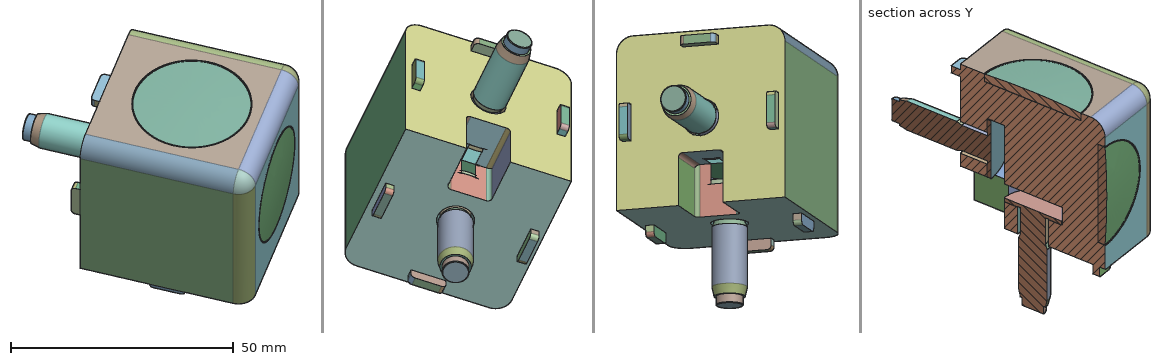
import cadquery as cq
import math


CUBE = 40.0
HALF = CUBE / 2
EDGE_RADIUS = 4.0

NOTCH_WIDTH = 10.6
NOTCH_DEPTH = 12.1
NOTCH_RADIUS = 1.0

TAB_WIDTH = 8.4
TAB_THICKNESS = 2.0
TAB_LENGTH = 2.55
TAB_RADIUS = 1.0
TAB_EDGE_GAP = 1.5

PIN_DIAMETER = 8.0
NECK_DIAMETER = 7.0
TIP_DIAMETER = 6.1
HEAD_DIAMETER = 15.8
PIN_REACH = 18.95
TIP_LENGTH = 2.1
TIP_CHAMFER = 0.2
TAPER_LENGTH = 2.15
SHOULDER_GAP = 0.95
NECK_TAPER_LENGTH = 1.3
HEAD_THICKNESS = 1.0

PIN_HOLE_DIAMETER = 8.5
SEAT_DIAMETER = 16.1
SEAT_FLOOR = 7.4

BUTTON_DIAMETER = 26.5
BUTTON_DEPTH = 2.0
DOME_HEIGHT = 0.5
RIM_CHAMFER = 0.25
FLARE_ANGLE = 45


def swap_x_and_z(shape):
    """Turn a Z-axis feature onto the X axis: +Z goes to +X and -Z to -X."""
    return shape.rotate((0, 0, 0), (1, 0, 1), 180)


def upright_cylinder(diameter, bottom, height):
    return cq.Workplane("XY", origin=(0, 0, bottom)).circle(diameter / 2).extrude(height)


def make_cube():
    cube = cq.Workplane("XY").box(CUBE, CUBE, CUBE)
    return cube.edges("(>Z and (>X or >Y or <Y)) or (>X and (>Y or <Y))").fillet(EDGE_RADIUS)


def make_notch():
    notch = cq.Workplane("XY", origin=(-HALF, 0, -HALF)).box(
        NOTCH_DEPTH, NOTCH_WIDTH, NOTCH_DEPTH, centered=(False, True, False)
    )
    ceiling_sides = notch.faces(">Z").edges("|X")
    wall_sides = notch.faces(">X").edges("|Z")
    return ceiling_sides.add(wall_sides).fillet(NOTCH_RADIUS)


def make_tab():
    """One tab below the -Z face, centred on the Z axis and wide along X."""
    tab = cq.Workplane("XY", origin=(0, 0, -HALF - TAB_LENGTH)).box(
        TAB_WIDTH, TAB_THICKNESS, TAB_LENGTH, centered=(True, True, False)
    )
    return tab.faces("<Z").edges("|Y").fillet(TAB_RADIUS)


def make_tabs():
    """Tabs along the +Y, +X and -Y edges of the -Z face."""
    offset = HALF - TAB_EDGE_GAP - TAB_THICKNESS / 2
    tabs = cq.Workplane("XY")
    for angle in (0, -90, 180):
        tab = make_tab().translate((0, offset, 0)).rotate((0, 0, 0), (0, 0, 1), angle)
        tabs = tabs.add(tab)
    return tabs.combine()


def make_pin_seat():
    """Hole for the pin, opening into a wider seat for its head."""
    hole = upright_cylinder(PIN_HOLE_DIAMETER, -HALF, SEAT_FLOOR)
    seat = upright_cylinder(SEAT_DIAMETER, -HALF + SEAT_FLOOR, NOTCH_DEPTH - SEAT_FLOOR)
    return hole.union(seat)


def make_button_recess():
    recess = upright_cylinder(BUTTON_DIAMETER, HALF - BUTTON_DEPTH, BUTTON_DEPTH)
    flare = cq.Workplane("XY", origin=(0, 0, HALF)).circle(BUTTON_DIAMETER / 2 + RIM_CHAMFER)
    flare = flare.extrude(-RIM_CHAMFER, taper=FLARE_ANGLE)
    return recess.union(flare)


def make_housing():
    tabs = make_tabs()
    pin_seat = make_pin_seat()
    button_recess = make_button_recess()
    housing = make_cube().union(tabs).union(swap_x_and_z(tabs)).cut(make_notch())
    for cavity in (pin_seat, button_recess):
        housing = housing.cut(cavity).cut(swap_x_and_z(cavity))
    return housing


def make_pin():
    """Pin along the -Z axis, turned from the tip up to the head."""
    tip = -HALF - PIN_REACH
    step = tip + TIP_LENGTH
    shoulder = -HALF - SHOULDER_GAP
    head_bottom = -HALF + SEAT_FLOOR
    head_top = head_bottom + HEAD_THICKNESS
    profile = [
        (0, tip),
        (TIP_DIAMETER / 2 - TIP_CHAMFER, tip),
        (TIP_DIAMETER / 2, tip + TIP_CHAMFER),
        (TIP_DIAMETER / 2, step),
        (NECK_DIAMETER / 2, step),
        (PIN_DIAMETER / 2, step + TAPER_LENGTH),
        (PIN_DIAMETER / 2, shoulder),
        (NECK_DIAMETER / 2, shoulder + NECK_TAPER_LENGTH),
        (NECK_DIAMETER / 2, head_bottom),
        (HEAD_DIAMETER / 2, head_bottom),
        (HEAD_DIAMETER / 2, head_top),
        (0, head_top),
    ]
    return cq.Workplane("XZ").polyline(profile).close().revolve(360, (0, 0), (0, 1))


def make_button():
    """Disc in the +Z face with a shallow spherical dome that starts flush with the face."""
    radius = BUTTON_DIAMETER / 2
    sphere_radius = (radius**2 + DOME_HEIGHT**2) / (2 * DOME_HEIGHT)
    apex = HALF + DOME_HEIGHT
    middle_drop = sphere_radius - math.sqrt(sphere_radius**2 - (radius / 2) ** 2)
    return (
        cq.Workplane("XZ")
        .moveTo(0, HALF - BUTTON_DEPTH)
        .lineTo(radius, HALF - BUTTON_DEPTH)
        .lineTo(radius, HALF)
        .threePointArc((radius / 2, apex - middle_drop), (0, apex))
        .close()
        .revolve(360, (0, 0), (0, 1))
    )


housing = make_housing()
bodies = [housing.val()]
for moving_part in (make_pin(), make_button()):
    bodies.append(moving_part.val())
    bodies.append(swap_x_and_z(moving_part).val())

result = cq.Compound.makeCompound(bodies)